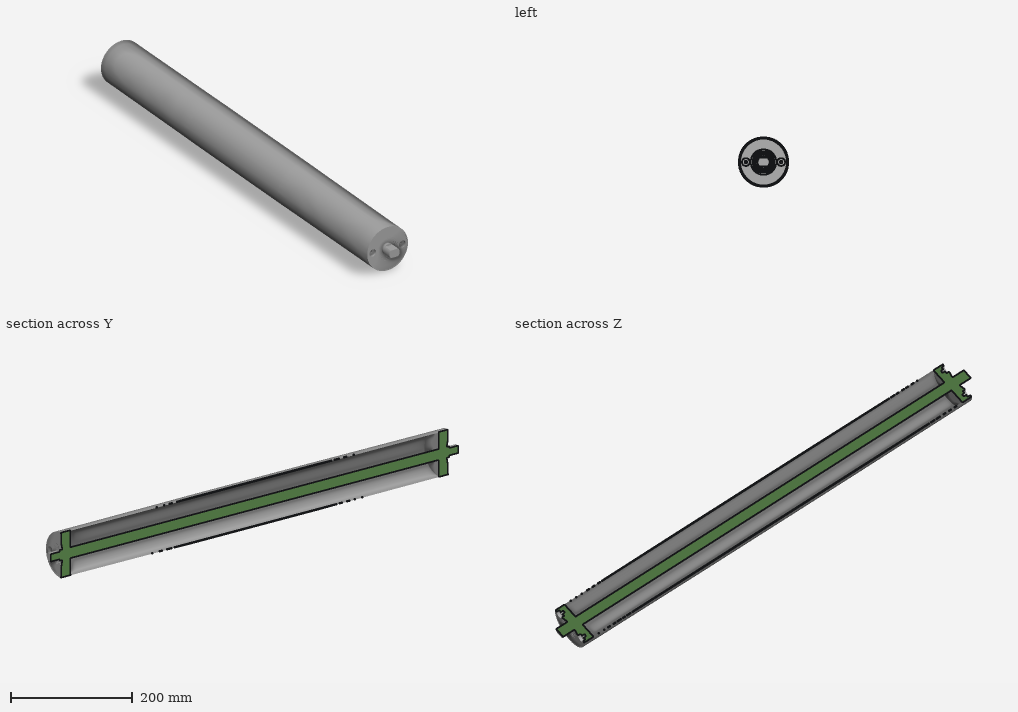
import cadquery as cq

shell_length = 800.0
crown_length = shell_length / 3
end_diameter = 80.0
crown_diameter = 81.5
bore_diameter = 77.0

cap_length = 20.0
flange_thickness = 3.0
face_recess_diameter = bore_diameter
face_recess_depth = 0.5

screw_steps = ((13.0, 5.0), (4.0, 10.0))
screw_offset = 29.0

seat_steps = ((42.0, 0.5), (36.0, 1.0), (31.0, 1.5), (26.0, 2.0))

axle_length = 841.0
axle_diameter = 20.0
flat_thickness = 14.0
flat_length = 18.0


def x_cylinder(diameter, start, length):
    """Cylinder on the X axis, running from start towards +X."""
    return cq.Workplane("YZ", origin=(start, 0, 0)).circle(diameter / 2).extrude(length)


def make_body():
    """Crowned roller: flange, taper, cylindrical crown, taper, flange; hollow between the caps."""
    half_shell = shell_length / 2
    taper_end = half_shell - flange_thickness
    half_crown = crown_length / 2
    end_radius = end_diameter / 2
    crown_radius = crown_diameter / 2
    body = (
        cq.Workplane("XY")
        .moveTo(-half_shell, 0)
        .lineTo(-half_shell, end_radius)
        .lineTo(-taper_end, end_radius)
        .lineTo(-half_crown, crown_radius)
        .lineTo(half_crown, crown_radius)
        .lineTo(taper_end, end_radius)
        .lineTo(half_shell, end_radius)
        .lineTo(half_shell, 0)
        .close()
        .revolve(360, (0, 0, 0), (1, 0, 0))
    )
    cavity_length = shell_length - 2 * cap_length
    return body.cut(x_cylinder(bore_diameter, -cavity_length / 2, cavity_length))


def make_end_cut():
    """Face recess, axle seat and screw holes of the cap at the -X end."""
    flange_face = -shell_length / 2
    recess_floor = flange_face + face_recess_depth
    cut = x_cylinder(face_recess_diameter, flange_face, face_recess_depth)
    for diameter, depth in seat_steps:
        cut = cut.union(x_cylinder(diameter, recess_floor, depth))
    for diameter, depth in screw_steps:
        hole = x_cylinder(diameter, recess_floor, depth)
        for y in (-screw_offset, screw_offset):
            cut = cut.union(hole.translate((0, y, 0)))
    return cut


def make_axle():
    """Round axle with two parallel flats at each end."""
    axle = x_cylinder(axle_diameter, -axle_length / 2, axle_length)
    flat_depth = (axle_diameter - flat_thickness) / 2
    flat_x = (axle_length - flat_length) / 2
    flat_z = (flat_thickness + flat_depth) / 2
    flat_cut = cq.Workplane("XY").box(flat_length, axle_diameter, flat_depth)
    for x in (-flat_x, flat_x):
        for z in (-flat_z, flat_z):
            axle = axle.cut(flat_cut.translate((x, 0, z)))
    return axle


end_cut = make_end_cut()
result = make_body().cut(end_cut).cut(end_cut.mirror("YZ")).union(make_axle())